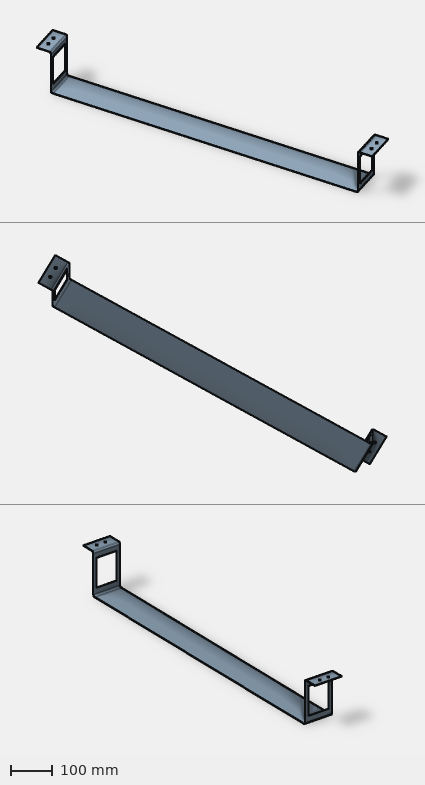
import cadquery as cq

length = 912.0
width = 80.0
height = 122.0

thickness = 2.0
inner_radius = 4.0
outer_radius = inner_radius + thickness

flange_length = 38.0
hole_diameter = 5.5
hole_spacing = 26.0

window_width = 60.0
window_height = 80.0

tip_x = length / 2
upright_outer_x = tip_x - flange_length
upright_inner_x = upright_outer_x - thickness

lower_bend_x = upright_outer_x - outer_radius
lower_bend_z = outer_radius
upper_bend_x = upright_outer_x + inner_radius
upper_bend_z = height - outer_radius

hole_x = (upper_bend_x + tip_x) / 2


def bent_half():
    """Half of the bent sheet on the +X side, from the mid-plane to the flange tip."""
    profile = (
        cq.Workplane("XZ")
        .moveTo(0, 0)
        .lineTo(lower_bend_x, 0)
        .tangentArcPoint((upright_outer_x, lower_bend_z), relative=False)
        .lineTo(upright_outer_x, upper_bend_z)
        .tangentArcPoint((upper_bend_x, height - thickness), relative=False)
        .lineTo(tip_x, height - thickness)
        .lineTo(tip_x, height)
        .lineTo(upper_bend_x, height)
        .tangentArcPoint((upright_inner_x, upper_bend_z), relative=False)
        .lineTo(upright_inner_x, lower_bend_z)
        .tangentArcPoint((lower_bend_x, thickness), relative=False)
        .lineTo(0, thickness)
        .close()
    )
    return profile.extrude(width / 2, both=True)


def mounting_holes():
    """Cutter for the pair of holes in each flange."""
    return (
        cq.Workplane("XY")
        .workplane(offset=height - thickness)
        .rect(2 * hole_x, hole_spacing, forConstruction=True)
        .vertices()
        .circle(hole_diameter / 2)
        .extrude(thickness)
    )


def windows():
    """Cutter for the openings through both uprights, centred on their height."""
    return (
        cq.Workplane("XY")
        .box(length, window_width, window_height)
        .translate((0, 0, height / 2))
    )


def bracket():
    """Complete bent-sheet bracket, resting on Z = 0."""
    half = bent_half()
    sheet = half.union(half.mirror("YZ"))
    return sheet.cut(mounting_holes()).cut(windows())


result = bracket()